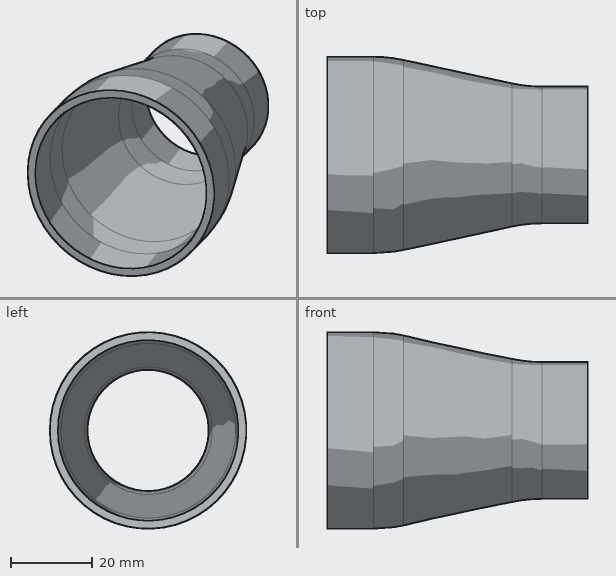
import cadquery as cq
import math

length = 64.0
large_diameter = 48.3
small_diameter = 33.65
wall = 2.0
taper_angle = math.radians(12.2)
bend_radius = 35.2


def bend_run(radius, angle):
    """Axial length of a bend that turns away from the axis direction."""
    return radius * math.sin(angle)


def bend_drop(radius, angle):
    """Radial change over the same bend."""
    return radius * (1 - math.cos(angle))


total_drop = (large_diameter - small_diameter) / 2
taper_drop = total_drop - 2 * bend_drop(bend_radius, taper_angle)
taper_length = taper_drop / math.tan(taper_angle)
end_length = (length - taper_length) / 2 - bend_run(bend_radius, taper_angle)


def reducer_solid(inset):
    """Solid of revolution about X, its surface set in from the outside by inset."""
    large_radius = large_diameter / 2 - inset
    small_radius = small_diameter / 2 - inset
    large_bend = bend_radius - inset
    small_bend = bend_radius + inset

    def large_bend_point(angle):
        return (end_length + bend_run(large_bend, angle), large_radius - bend_drop(large_bend, angle))

    def small_bend_point(angle):
        x = length - end_length - bend_run(small_bend, angle)
        return (x, small_radius + bend_drop(small_bend, angle))

    profile = (
        cq.Workplane("XY")
        .moveTo(0, 0)
        .lineTo(0, large_radius)
        .lineTo(*large_bend_point(0))
        .threePointArc(large_bend_point(taper_angle / 2), large_bend_point(taper_angle))
        .lineTo(*small_bend_point(taper_angle))
        .threePointArc(small_bend_point(taper_angle / 2), small_bend_point(0))
        .lineTo(length, small_radius)
        .lineTo(length, 0)
        .close()
    )
    return profile.revolve(360, (0, 0, 0), (1, 0, 0))


outer = reducer_solid(0)
bore = reducer_solid(wall)
result = outer.cut(bore)